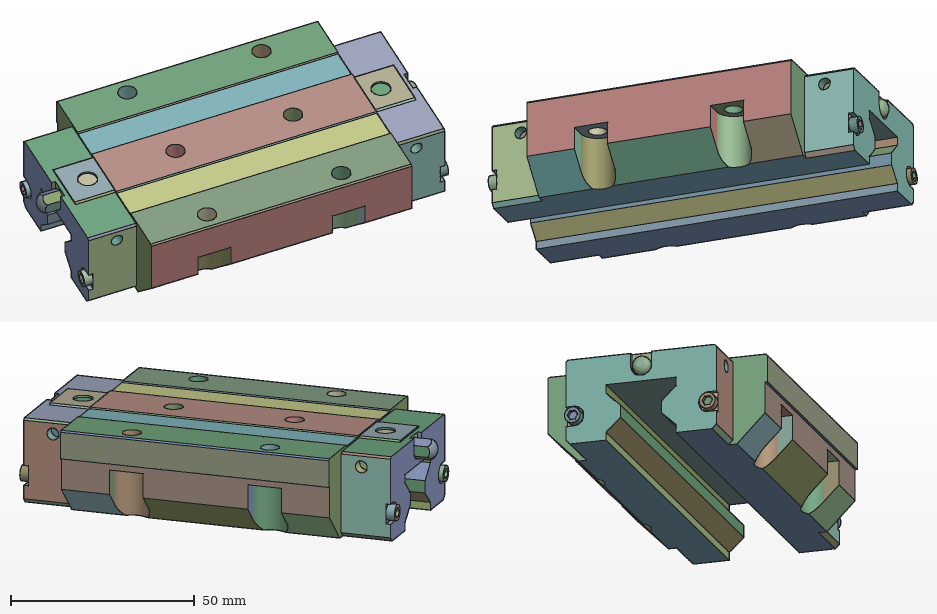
import cadquery as cq
import math

block_length = 77.7
body_length = 106.3
plate_thickness = 2.4
block_width = 63.0
block_height = 25.0
cap_half_width = 21.6

edge_chamfer = 0.5
strip_depth = 0.3
strip_outer_x = 17.6
strip_inner_x = 8.1
foot_half_width = 22.7
relief_depth = 0.7
relief_top_z = 17.0

cap_height = 24.2
cap_top_chamfer = 0.6
cap_foot_chamfer = 1.2
pad_half_width = 7.0
pad_slope = 0.6
pad_height = 0.5

channel_half_width = 10.1
channel_top_z = 16.0
waist_half_width = 5.9
shoulder_z = 13.6
waist_top_z = 9.6
waist_bottom_z = 6.1
mouth_z = 2.3

hole_diameter = 5.2
side_hole_spacing = 53.0
side_hole_y = 20.0
center_hole_y = 17.5
bolt_slot_width = 9.7
bolt_slot_top_z = 15.0

port_y = 43.8
port_diameter = 5.4
port_depth = 0.6
side_port_y = 44.7
side_port_z = 20.6
side_port_diameter = 3.4
side_port_depth = 3.4

screw_x = 19.3
screw_z = 7.9
screw_pocket_radius = 2.8
screw_pocket_depth = 1.4
screw_head_radius = 2.3
screw_head_end_y = 54.3
hex_socket_diameter = 2.9
hex_socket_depth = 1.1

nipple_z = 20.6
nipple_pocket_width = 6.0
nipple_pocket_depth = 1.1
nipple_corner_diameter = 6.0
nipple_tip_y = -58.8
nipple_dome_radius = 3.3
plug_end_y = 54.3
plug_radius = 2.6
plug_rounding = 1.7

block_half_width = block_width / 2
side_hole_x = side_hole_spacing / 2
nipple_pocket_radius = nipple_pocket_width / 2
end_y = body_length / 2

overlap = 0.6
hex_sides = 6
corner_up_angle = 90


def along_y(section, y_start, y_end):
    """Extrude a closed X-Z section from y_start to y_end."""
    return section.extrude(y_start - y_end).translate((0, y_start, 0))


def xz_polygon(points):
    return cq.Workplane("XZ").polyline(points).close()


def y_cylinder(x, z, radius, y_start, y_end):
    return along_y(cq.Workplane("XZ").center(x, z).circle(radius), y_start, y_end)


def xz_box(x_start, x_end, z_start, z_end, y_start, y_end):
    size = (x_end - x_start, y_end - y_start, z_end - z_start)
    return cq.Workplane("XY").box(*size, centered=False).translate((x_start, y_start, z_start))


def make_block():
    strip_z = block_height - strip_depth
    wall_foot_z = block_half_width - foot_half_width
    right_half = [
        (foot_half_width, 0),
        (block_half_width, wall_foot_z),
        (block_half_width, block_height - edge_chamfer),
        (block_half_width - edge_chamfer, block_height),
        (strip_outer_x, block_height),
        (strip_outer_x - strip_depth, strip_z),
        (strip_inner_x + strip_depth, strip_z),
        (strip_inner_x, block_height),
    ]
    left_half = [(-x, z) for x, z in reversed(right_half)]
    block = along_y(xz_polygon(right_half + left_half), -block_length / 2, block_length / 2)
    relief = xz_box(-block_half_width, relief_depth - block_half_width, 0, relief_top_z,
                    -block_length / 2, block_length / 2)
    return block.cut(relief)


def make_caps():
    """End caps and end plates as one bar running through the block."""
    cap = xz_box(-cap_half_width, cap_half_width, 0, cap_height, -end_y, end_y)
    cap = cap.faces(">Z").edges("|Y").chamfer(cap_top_chamfer)
    cap = cap.faces("<Z").edges("|Y").chamfer(cap_foot_chamfer)
    pad_foot = pad_half_width + pad_slope
    pad_top_z = cap_height + pad_height
    pad_end_y = end_y - plate_thickness
    pad_section = [
        (-pad_foot, cap_height),
        (pad_foot, cap_height),
        (pad_half_width, pad_top_z),
        (-pad_half_width, pad_top_z),
    ]
    cap = cap.union(along_y(xz_polygon(pad_section), -pad_end_y, pad_end_y))
    for side in (-1, 1):
        port = cq.Workplane("XY").circle(port_diameter / 2).extrude(port_depth)
        cap = cap.cut(port.translate((0, side * port_y, pad_top_z - port_depth)))
        for wall in (-1, 1):
            side_port = cq.Workplane("YZ").circle(side_port_diameter / 2)
            side_port = side_port.extrude(side_port_depth, both=True)
            cap = cap.cut(side_port.translate((wall * cap_half_width, side * side_port_y, side_port_z)))
    return cap


def make_rail_channel():
    right_half = [
        (channel_half_width, 0),
        (channel_half_width, mouth_z),
        (waist_half_width, waist_bottom_z),
        (waist_half_width, waist_top_z),
        (channel_half_width, shoulder_z),
        (channel_half_width, channel_top_z),
    ]
    left_half = [(-x, z) for x, z in reversed(right_half)]
    return along_y(xz_polygon(right_half + left_half), -end_y, end_y)


def make_mounting_cuts():
    """Through holes, with round-ended bolt slots under the flange holes, open to the sides."""
    side_points = [(x, y) for x in (-side_hole_x, side_hole_x) for y in (-side_hole_y, side_hole_y)]
    center_points = [(0, -center_hole_y), (0, center_hole_y)]
    cuts = cq.Workplane("XY").pushPoints(side_points + center_points)
    cuts = cuts.circle(hole_diameter / 2).extrude(block_height)
    for x, y in side_points:
        outward = math.copysign(bolt_slot_width, x)
        slot = cq.Workplane("XY").center(x, y).circle(bolt_slot_width / 2).extrude(bolt_slot_top_z)
        opening = cq.Workplane("XY").center(x + outward / 2, y)
        opening = opening.rect(bolt_slot_width, bolt_slot_width).extrude(bolt_slot_top_z)
        cuts = cuts.union(slot).union(opening)
    return cuts


def add_screw(body, x_side):
    """Socket head screw in an open-sided pocket, built on the +Y end and mirrored to the -Y end."""
    x = x_side * screw_x
    wall_x = x_side * cap_half_width
    floor_y = end_y - screw_pocket_depth
    pocket = y_cylinder(x, screw_z, screw_pocket_radius, floor_y, end_y)
    pocket = pocket.union(xz_box(min(x, wall_x), max(x, wall_x), screw_z - screw_pocket_radius,
                                 screw_z + screw_pocket_radius, floor_y, end_y))
    head = y_cylinder(x, screw_z, screw_head_radius, floor_y - overlap, screw_head_end_y)
    socket = cq.Workplane("XZ").center(x, screw_z).polygon(hex_sides, hex_socket_diameter)
    head = head.cut(along_y(socket, screw_head_end_y - hex_socket_depth, screw_head_end_y))
    for tool_pocket, tool_head in ((pocket, head), (pocket.mirror("XZ"), head.mirror("XZ"))):
        body = body.cut(tool_pocket).union(tool_head)
    return body


def make_nipple_pocket():
    """U-shaped recess in the +Y end plate, open at the top."""
    floor_y = end_y - nipple_pocket_depth
    pocket = y_cylinder(0, nipple_z, nipple_pocket_radius, floor_y, end_y)
    slot = xz_box(-nipple_pocket_radius, nipple_pocket_radius, nipple_z, block_height, floor_y, end_y)
    return pocket.union(slot)


def make_nipple():
    """Hexagonal nipple with upright corners and a ball-shaped tip."""
    base_y = -end_y + nipple_pocket_depth + overlap
    dome_y = nipple_tip_y + nipple_dome_radius
    hexagon = cq.Workplane("XZ").center(0, nipple_z).transformed(rotate=(0, 0, corner_up_angle))
    hexagon = hexagon.polygon(hex_sides, nipple_corner_diameter)
    stem = along_y(hexagon, nipple_tip_y, base_y)
    envelope = y_cylinder(0, nipple_z, nipple_dome_radius, dome_y, base_y)
    envelope = envelope.union(cq.Workplane("XY").sphere(nipple_dome_radius).translate((0, dome_y, nipple_z)))
    return stem.intersect(envelope)


def make_plug():
    base_y = end_y - nipple_pocket_depth - overlap
    plug = y_cylinder(0, nipple_z, plug_radius, base_y, plug_end_y)
    return plug.faces(">Y").edges().fillet(plug_rounding)


result = make_block().union(make_caps())
result = result.cut(make_rail_channel()).cut(make_mounting_cuts())
for screw_side in (-1, 1):
    result = add_screw(result, screw_side)
nipple_pocket = make_nipple_pocket()
result = result.cut(nipple_pocket).cut(nipple_pocket.mirror("XZ"))
result = result.union(make_nipple()).union(make_plug())